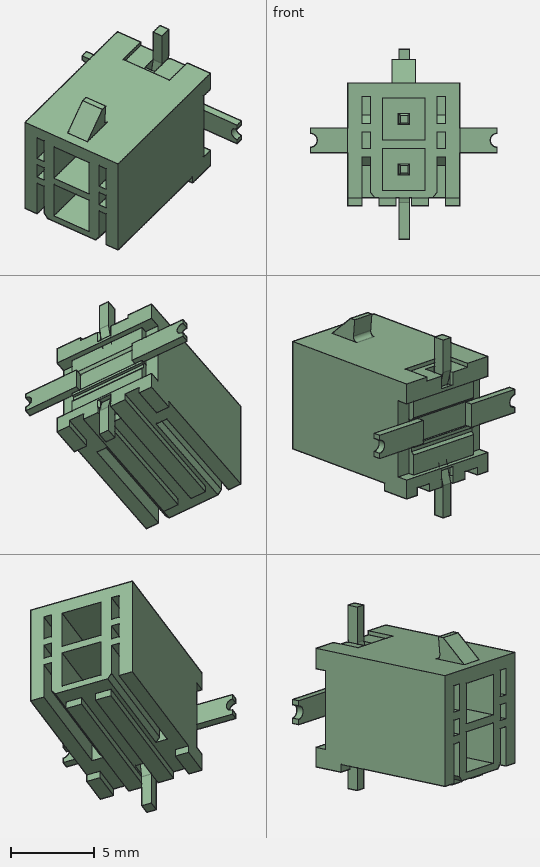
import cadquery as cq


width = 6.73
depth = 9.9
height = 6.89
mid_z = height / 2
row_mid_z = 3.2
sides = (-1, 1)
rows = (-1, 1)

row_pitch = 3.01
cavity_width = 2.55
cavity_height = 2.51
cavity_depth = 7.41

pin_width = 0.64
pin_height = 0.65
pin_tip_y = 2.96
tip_chamfer = 0.1
tail_thickness = 0.73
upper_tail_top = 8.9
lower_tail_bottom = -2.5
bend_inner_height = 2.0
bend_outer_height = 2.12
bend_inner_run = 0.39
bend_outer_run = 0.68

tail_slot_width = 0.7
tail_slot_depth = 1.52
tail_slot_floor = 2.62
slot_mouth_chamfer = 0.13

roof_recess_width = 3.35
roof_recess_length = 1.89
roof_recess_depth = 0.25

key_width = 0.5
key_center_x = 2.23
key_depth = 6.84
middle_key_height = 0.98
outer_key_start = 0.99
outer_key_ramp_end = 1.5
outer_key_end = 2.63
key_chamfer_x = 0.25
key_chamfer_z = 0.32

pocket_top = 5.61
pocket_bottom = 0.73
pocket_depth = 0.32
notch_depth = 0.73
seat_top = 4.39
seat_bottom = 2.02
seat_chamfer = 0.17
ledge_thickness = 0.2

tab_span = 11.2
tab_thickness = 0.48
tab_height = 1.49
tab_leg_front = 7.75
tab_hole_radius = 0.41

foot_height = 0.49
foot_length = 1.93
rail_width = 1.03
rail_center_x = 0.97
rail_front = 1.0

latch_width = 1.42
latch_height = 1.4
latch_toe_y = 0.64
latch_crest_front = 2.25
latch_crest_back = 2.61
latch_heel_y = 2.47
latch_fillet = 0.3

pin_center_x = (tail_slot_width - pin_width) / 2
back_seat_y = depth - tab_thickness
key_outer_x = key_center_x + key_width / 2
key_inner_x = key_center_x - key_width / 2
tab_bottom = mid_z - tab_height / 2


def block(x_range, y_range, z_range):
    """Box between pairs of opposite limits."""
    (x0, x1), (y0, y1), (z0, z1) = x_range, y_range, z_range
    return cq.Workplane("XY").box(x1 - x0, y1 - y0, z1 - z0, centered=False).translate((x0, y0, z0))


def centered_limits(center, size):
    return center - size / 2, center + size / 2


def side_wall_limits(side):
    """X limits of the wall outside the keying slots on one side."""
    return centered_limits(side * (width / 2 + key_outer_x) / 2, width / 2 - key_outer_x)


def side_profile(points, x_range):
    """Prism with an outline of (Y, Z) points, spanning the X limits."""
    x0, x1 = x_range
    return cq.Workplane("YZ").polyline(points).close().extrude(x1 - x0).translate((x0, 0, 0))


def make_pin(row):
    """Bent pin; row is +1 for the upper one (tail up) and -1 for the lower one (tail down)."""
    axis_z = row_mid_z + row * row_pitch / 2
    tail_end = upper_tail_top if row > 0 else lower_tail_bottom
    near_z = axis_z + row * pin_height / 2
    far_z = axis_z - row * pin_height / 2
    inner_bend_z = axis_z + row * bend_inner_height
    outer_bend_z = axis_z + row * bend_outer_height
    tail_front = depth - tail_thickness
    outline = [
        (pin_tip_y, far_z),
        (depth - bend_outer_run, far_z),
        (depth, outer_bend_z),
        (depth, tail_end),
        (tail_front, tail_end),
        (tail_front, inner_bend_z),
        (tail_front - bend_inner_run, near_z),
        (pin_tip_y, near_z),
    ]
    pin = side_profile(outline, centered_limits(pin_center_x, pin_width))
    return pin.faces("<Y").chamfer(tip_chamfer)


def make_tab(side):
    """Solder tab: a plate along the rear face with a leg pressed into the housing."""
    z_range = (tab_bottom, tab_bottom + tab_height)
    plate = block((key_inner_x, tab_span / 2), (back_seat_y, depth), z_range)
    leg = block((key_inner_x, key_outer_x), (tab_leg_front, depth), z_range)
    hole = (
        cq.Workplane("XZ", origin=(tab_span / 2, depth, mid_z))
        .circle(tab_hole_radius)
        .extrude(tab_thickness)
    )
    tab = plate.union(leg).cut(hole)
    return tab if side > 0 else tab.mirror("YZ")


def make_latch():
    """Ramped latch with a filleted heel."""
    crest_z = height + latch_height
    sole_z = height - latch_fillet
    sole_back = latch_heel_y + 2 * latch_fillet
    outline = [
        (latch_toe_y, height),
        (latch_crest_front, crest_z),
        (latch_crest_back, crest_z),
        (latch_heel_y, height),
        (sole_back, height),
        (sole_back, sole_z),
        (latch_toe_y, sole_z),
    ]
    latch = side_profile(outline, centered_limits(0, latch_width))
    heel_edge = cq.selectors.NearestToPointSelector((0, latch_heel_y, height))
    return latch.edges(heel_edge).fillet(latch_fillet)


def make_feet():
    """Corner feet at the rear and two long rails."""
    feet = cq.Workplane("XY")
    for side in sides:
        feet = feet.add(block(side_wall_limits(side), (depth - foot_length, depth), (-foot_height, 0)))
        rail_x = centered_limits(side * rail_center_x, rail_width)
        feet = feet.add(block(rail_x, (rail_front, depth), (-foot_height, 0)))
    return feet


def make_key_slots(side):
    """Blind keying slots on one side: upper, middle, and lower, the last open at the bottom."""
    x_range = centered_limits(side * key_center_x, key_width)
    ramp_y = key_depth - (outer_key_ramp_end - outer_key_start)
    middle_z = centered_limits(mid_z, middle_key_height)
    slots = block(x_range, (0, key_depth), middle_z)
    for row, end_z in ((1, mid_z + outer_key_end), (-1, 0)):
        start_z = mid_z + row * outer_key_start
        ramp_z = mid_z + row * outer_key_ramp_end
        outline = [(0, start_z), (0, end_z), (key_depth, end_z), (key_depth, ramp_z), (ramp_y, start_z)]
        slots = slots.add(side_profile(outline, x_range))
    corner_x = side * key_inner_x
    bevel = (
        cq.Workplane("XZ")
        .moveTo(corner_x, 0)
        .lineTo(corner_x, key_chamfer_z)
        .lineTo(corner_x - side * key_chamfer_x, 0)
        .close()
        .extrude(-key_depth)
    )
    return slots.add(bevel)


def make_rear_pocket():
    """Pocket across the rear with a stepped seat groove, and deeper notches at both sides."""
    pocket_y = depth - pocket_depth
    outline = [
        (depth, pocket_bottom),
        (pocket_y, pocket_bottom),
        (pocket_y, seat_bottom),
        (back_seat_y, seat_bottom + seat_chamfer),
        (back_seat_y, tab_bottom - ledge_thickness),
        (pocket_y, tab_bottom - ledge_thickness),
        (pocket_y, tab_bottom),
        (back_seat_y, tab_bottom),
        (back_seat_y, seat_top - seat_chamfer),
        (pocket_y, seat_top),
        (pocket_y, pocket_top),
        (depth, pocket_top),
    ]
    pocket = side_profile(outline, centered_limits(0, width))
    for side in sides:
        notch_y = (depth - notch_depth, depth)
        pocket = pocket.add(block(side_wall_limits(side), notch_y, (pocket_bottom, pocket_top)))
    return pocket


def make_tail_slot(row):
    """Slot for one pin tail, from its floor out through the roof (+1) or the underside (-1)."""
    floor_z = row_mid_z + row * tail_slot_floor
    end_z = height if row > 0 else 0
    half_width = tail_slot_width / 2
    mouth = half_width + slot_mouth_chamfer
    outline = [
        (-half_width, depth - tail_slot_depth),
        (half_width, depth - tail_slot_depth),
        (half_width, depth - slot_mouth_chamfer),
        (mouth, depth),
        (-mouth, depth),
        (-half_width, depth - slot_mouth_chamfer),
    ]
    slot = cq.Workplane("XY").polyline(outline).close().extrude(end_z - floor_z)
    return slot.translate((0, 0, floor_z))


def cut_all(body, cutters):
    """Cut every solid held by the cutters' stack."""
    for cutter in cutters.vals():
        body = body.cut(cq.Workplane(cutter))
    return body


def make_housing(fitted_bodies):
    """Housing with matching recesses for the bodies fitted into it."""
    housing = block(centered_limits(0, width), (0, depth), (0, height)).union(make_latch())
    for foot in make_feet().vals():
        housing = housing.union(cq.Workplane(foot))
    roof_recess = block(
        centered_limits(0, roof_recess_width),
        (depth - roof_recess_length, depth),
        (height - roof_recess_depth, height),
    )
    housing = housing.cut(roof_recess)
    for row in rows:
        axis_z = row_mid_z + row * row_pitch / 2
        cavity_z = centered_limits(axis_z, cavity_height)
        housing = housing.cut(block(centered_limits(0, cavity_width), (0, cavity_depth), cavity_z))
        passage_x = centered_limits(0, tail_slot_width)
        passage_y = (cavity_depth, depth - tail_slot_depth)
        housing = housing.cut(block(passage_x, passage_y, centered_limits(axis_z, pin_height)))
        housing = housing.cut(make_tail_slot(row))
    for side in sides:
        housing = cut_all(housing, make_key_slots(side))
    housing = cut_all(housing, make_rear_pocket())
    for body in fitted_bodies:
        housing = housing.cut(body)
    return housing


pins = [make_pin(row) for row in rows]
tabs = [make_tab(side) for side in sides]
housing = make_housing(pins + tabs)

result = cq.Compound.makeCompound([housing.val(), *[body.val() for body in pins + tabs]])